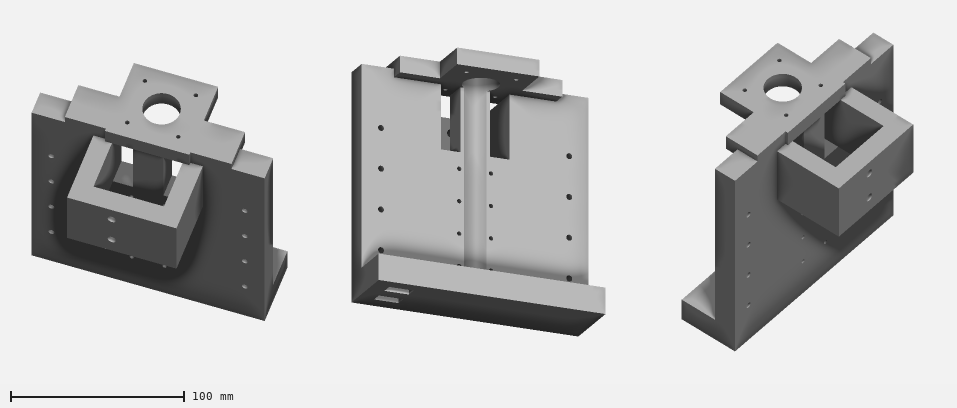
import cadquery as cq

plate_width = 142.0
plate_thickness = 15.1
plate_height = 141.5

foot_depth = 40.0
foot_height = 16.3

total_height = 146.5
mount_thickness = 10.3
mount_bottom = total_height - mount_thickness
bar_width = 101.5
bar_depth = 23.9
tab_width = 51.5
tab_back = 49.1
tab_front = -1.8

box_width = 66.7
box_height = 40.0
box_front = -46.5
box_bottom = mount_bottom - box_height
window_width = 43.0
box_front_wall = 12.3
rib_width = 18.6

shaft_y = (tab_back + tab_front) / 2
bore_diameter = 22.1
seat_diameter = 17.0
seat_depth = 10.3
motor_hole_diameter = 2.6
motor_hole_pitch = 31.0

side_hole_diameter = 3.7
side_hole_spacing = 117.8
side_hole_pitch = 25.0
side_hole_first_z = 28.7
center_hole_diameter = 2.6
center_hole_spacing = 20.0
center_hole_pitch = 20.0
center_hole_first_z = 26.2
hole_rows = 4

box_hole_diameter = 5.1
box_hole_x = -6.0
box_hole_pitch = 20.0
box_hole_first_z = 107.1

slot_length = 15.2
slot_width = 7.0
slot_center_x = 53.3
slot_center_ys = (13.2, 28.5)


def block(width, y_front, y_back, z_bottom, z_top):
    """Box centred on X = 0 between the given Y and Z limits."""
    return (
        cq.Workplane("XY", origin=(0, (y_front + y_back) / 2, z_bottom))
        .rect(width, y_back - y_front)
        .extrude(z_top - z_bottom)
    )


def holes_along_y(points, diameter, y_front, y_back):
    """Round cutters along Y at the given (x, z) points."""
    return (
        cq.Workplane("XZ", origin=(0, y_front, 0))
        .pushPoints(points)
        .circle(diameter / 2)
        .extrude(y_front - y_back)
    )


def two_columns(spacing, first_z, pitch):
    """(x, z) points of two columns placed evenly about X = 0."""
    return [
        (side * spacing / 2, first_z + row * pitch)
        for side in (-1, 1)
        for row in range(hole_rows)
    ]


body = block(plate_width, 0, plate_thickness, 0, plate_height)
body = body.union(block(plate_width, 0, foot_depth, 0, foot_height))
body = body.union(block(bar_width, 0, bar_depth, mount_bottom, total_height))
body = body.union(block(tab_width, tab_front, tab_back, mount_bottom, total_height))
body = body.union(block(box_width, box_front, 0, box_bottom, mount_bottom))

window_front = box_front + box_front_wall
window = block(window_width, window_front, plate_thickness, box_bottom, mount_bottom)
rib = block(rib_width, 0, plate_thickness, box_bottom, mount_bottom)
body = body.cut(window.cut(rib))

bore = (
    cq.Workplane("XY", origin=(0, shaft_y, foot_height))
    .circle(bore_diameter / 2)
    .extrude(total_height - foot_height)
)
seat = (
    cq.Workplane("XY", origin=(0, shaft_y, foot_height - seat_depth))
    .circle(seat_diameter / 2)
    .extrude(seat_depth)
)
body = body.cut(bore).cut(seat)

motor_holes = (
    cq.Workplane("XY", origin=(0, shaft_y, mount_bottom))
    .rect(motor_hole_pitch, motor_hole_pitch, forConstruction=True)
    .vertices()
    .circle(motor_hole_diameter / 2)
    .extrude(mount_thickness)
)
body = body.cut(motor_holes)

side_points = two_columns(side_hole_spacing, side_hole_first_z, side_hole_pitch)
body = body.cut(holes_along_y(side_points, side_hole_diameter, 0, plate_thickness))
center_points = two_columns(center_hole_spacing, center_hole_first_z, center_hole_pitch)
body = body.cut(holes_along_y(center_points, center_hole_diameter, 0, plate_thickness))

box_points = [(box_hole_x, box_hole_first_z + row * box_hole_pitch) for row in range(2)]
body = body.cut(holes_along_y(box_points, box_hole_diameter, box_front, window_front))

slots = (
    cq.Workplane("XY")
    .pushPoints([(slot_center_x, y) for y in slot_center_ys])
    .rect(slot_length, slot_width)
    .extrude(foot_height)
)
result = body.cut(slots)